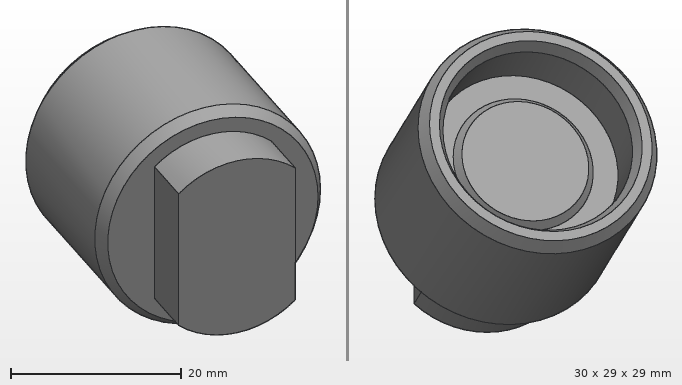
import cadquery as cq

body_diameter = 29.0
body_length = 23.0
body_chamfer_length = 1.5
body_chamfer_depth = 1.0

tail_diameter = 23.28
tail_length = 7.0
tail_width_across_flats = 15.0

cavity_diameter = 23.0
cavity_depth = 8.1
mouth_chamfer_length = 1.4
mouth_chamfer_depth = 0.8

pad_base_diameter = 17.0
pad_face_diameter = 15.4
pad_height = 1.0


def revolve_about_x(profile):
    """Turn a closed (x, radius) profile about the X axis."""
    return cq.Workplane("XY").polyline(profile).close().revolve(360, (0, 0, 0), (1, 0, 0))


def make_body():
    """Cylindrical body with a conical chamfer at both ends."""
    radius = body_diameter / 2
    end_radius = radius - body_chamfer_depth
    profile = [
        (0, 0),
        (0, end_radius),
        (body_chamfer_length, radius),
        (body_length - body_chamfer_length, radius),
        (body_length, end_radius),
        (body_length, 0),
    ]
    return revolve_about_x(profile)


def make_tail():
    """Round stub behind the body with two flats facing -Y and +Y."""
    body_end = cq.Workplane("YZ").workplane(offset=body_length)
    stub = body_end.circle(tail_diameter / 2).extrude(tail_length)
    flats = body_end.rect(tail_width_across_flats, tail_diameter).extrude(tail_length)
    return stub.intersect(flats)


def make_cavity():
    """Volume of the blind bore: conical lead-in, and a floor that keeps a raised tapered pad."""
    radius = cavity_diameter / 2
    pad_face_x = cavity_depth - pad_height
    profile = [
        (0, 0),
        (0, radius + mouth_chamfer_depth),
        (mouth_chamfer_length, radius),
        (cavity_depth, radius),
        (cavity_depth, pad_base_diameter / 2),
        (pad_face_x, pad_face_diameter / 2),
        (pad_face_x, 0),
    ]
    return revolve_about_x(profile)


result = make_body().union(make_tail()).cut(make_cavity())